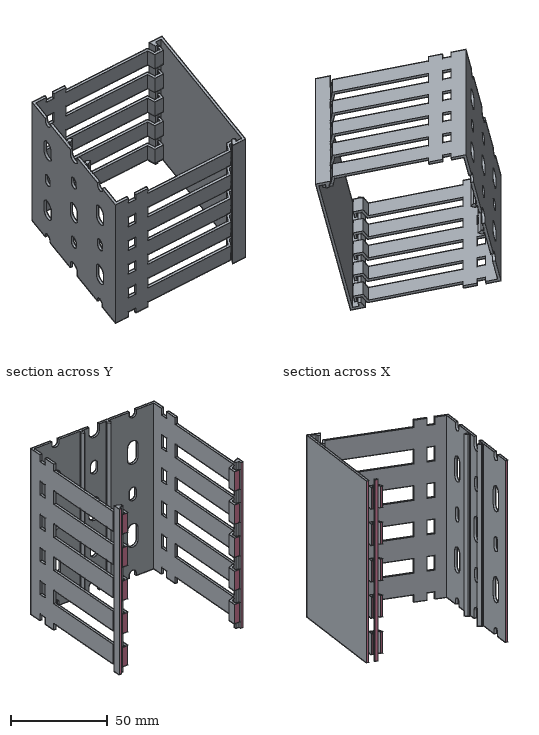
import cadquery as cq

WIDTH = 80.0
DEPTH = 80.0
LENGTH = 100.0
WALL = 1.5

HALF_WIDTH = WIDTH / 2
BACK = DEPTH / 2
FRONT = -DEPTH / 2

COVER_SIDE_DEPTH = 8.0
COVER_HOOK_REACH = 3.6
COVER_HOOK_TOP = 4.8
COVER_HOOK_BOTTOM = 6.3

SHOULDER_DEPTH = 9.0
CHANNEL_FLOOR = 4.1
CHANNEL_BOTTOM = 7.2
SLOPE_THICKNESS = 1.5
LIP_GAP = 0.5
LIP_TOP = 2.7
LIP_THICKNESS = 1.3

OPENING_HEIGHT = 8.0
OPENING_PITCH = 20.0
LONG_OPENING_START = 20.0
WINDOW_START = 8.0
WINDOW_END = 12.5

SLOT_PITCH = 25.0
LARGE_SLOT_WIDTH = 6.6
LARGE_SLOT_LENGTH = 14.0
SMALL_SLOT_WIDTH = 4.5
SMALL_SLOT_LENGTH = 8.0

RIB_OFFSET = 8.5
RIB_STEM_WIDTH = 1.2
RIB_BARB_WIDTH = 2.4
RIB_STEM_HEIGHT = 0.6
RIB_BARB_HEIGHT = 1.5
RIB_HEIGHT = 3.3


def mirrored_profile(left_half):
    """Extrude a profile given by its left half, closed by its mirror image about X = 0."""
    right_half = [(-x, y) for x, y in reversed(left_half)]
    return cq.Workplane("XY").polyline(left_half + right_half).close().extrude(LENGTH)


def side_point(inset, drop):
    """Point on the left side, inset from the outer side face and dropped from the back face."""
    return (-HALF_WIDTH + inset, BACK - drop)


def make_cover():
    return mirrored_profile([
        side_point(0, 0),
        side_point(0, COVER_SIDE_DEPTH),
        side_point(COVER_HOOK_REACH, COVER_HOOK_BOTTOM),
        side_point(COVER_HOOK_REACH, COVER_HOOK_TOP),
        side_point(WALL, COVER_HOOK_TOP),
        side_point(WALL, WALL),
    ])


def make_base_shell():
    slope_rise = SHOULDER_DEPTH - CHANNEL_BOTTOM
    slope_run = CHANNEL_FLOOR
    limb_inset = CHANNEL_FLOOR + WALL
    limb_bottom = SHOULDER_DEPTH + SLOPE_THICKNESS - slope_rise * limb_inset / slope_run
    wall_top = SHOULDER_DEPTH + SLOPE_THICKNESS - slope_rise * WALL / slope_run
    lip_inset = WALL + LIP_GAP
    lip_bottom = LIP_TOP + LIP_THICKNESS
    return mirrored_profile([
        (-HALF_WIDTH + WALL, FRONT + WALL),
        side_point(WALL, wall_top),
        side_point(limb_inset, limb_bottom),
        side_point(limb_inset, LIP_TOP),
        side_point(lip_inset, LIP_TOP),
        side_point(lip_inset, lip_bottom),
        side_point(CHANNEL_FLOOR, lip_bottom),
        side_point(CHANNEL_FLOOR, CHANNEL_BOTTOM),
        side_point(0, SHOULDER_DEPTH),
        (-HALF_WIDTH, FRONT),
    ])


def make_barbed_rib(x):
    """Arrow-shaped rib standing on the inner face of the front wall, sunk through it to fuse."""
    inner_face = FRONT + WALL
    half_stem = RIB_STEM_WIDTH / 2
    half_barb = RIB_BARB_WIDTH / 2
    left_half = [
        (x - half_stem, FRONT),
        (x - half_stem, inner_face + RIB_STEM_HEIGHT),
        (x - half_barb, inner_face + RIB_STEM_HEIGHT),
        (x - half_barb, inner_face + RIB_BARB_HEIGHT),
    ]
    tip = (x, inner_face + RIB_HEIGHT)
    right_half = [(2 * x - px, py) for px, py in reversed(left_half)]
    return cq.Workplane("XY").polyline(left_half + [tip] + right_half).close().extrude(LENGTH)


def side_opening(start, end, z):
    """Cutter through both side walls, from start to end behind the front face."""
    return (
        cq.Workplane("XY")
        .box(2 * WIDTH, end - start, OPENING_HEIGHT)
        .translate((0, FRONT + (start + end) / 2, z))
    )


def mounting_slot(x, z, length, width):
    """Upright round-ended cutter through the front wall."""
    return (
        cq.Workplane("XZ", origin=(x, FRONT + WALL, z))
        .slot2D(length, width, 90)
        .extrude(WALL)
    )


def make_base():
    base = make_base_shell()
    for x in (-RIB_OFFSET, RIB_OFFSET):
        base = base.union(make_barbed_rib(x))

    for row in range(round(LENGTH / OPENING_PITCH) + 1):
        z = row * OPENING_PITCH
        base = base.cut(side_opening(WINDOW_START, WINDOW_END, z))
        base = base.cut(side_opening(LONG_OPENING_START, DEPTH, z))

    for row in range(round(LENGTH / SLOT_PITCH) + 1):
        for column in (-1, 0, 1):
            x = column * SLOT_PITCH
            z = row * SLOT_PITCH
            if (row + column) % 2 == 0:
                base = base.cut(mounting_slot(x, z, LARGE_SLOT_LENGTH, LARGE_SLOT_WIDTH))
            else:
                base = base.cut(mounting_slot(x, z, SMALL_SLOT_LENGTH, SMALL_SLOT_WIDTH))
    return base


cover = make_cover()
base = make_base()

result = cq.Compound.makeCompound([cover.val(), base.val()])